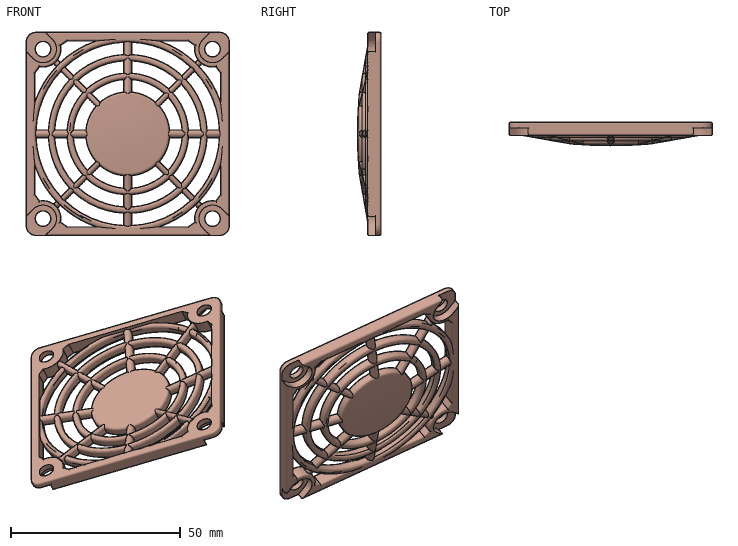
import cadquery as cq
import math


SIZE = 60.0
FRAME_DEPTH = 4.0
CORNER_RADIUS = 3.0
FRAME_EDGE_FILLET = 0.6
WINDOW_SIZE = 54.8
WINDOW_EDGE_FILLET = 0.5

HOLE_DIAMETER = 4.5
HOLE_INSET = 5.0
RECESS_RADIUS = 4.0
RECESS_FLOOR_HEIGHT = 1.7
BOSS_RADIUS = 5.3
GUSSET_REACH = 12.1
GUSSET_SLOPE_RUN = 2.0
GUSSET_SLOPE_RISE = 1.4

APEX_HEIGHT = 7.0
HUB_DOME_RADIUS = 140.0
HUB_RADIUS = 12.4
HUB_RIM_ROUND = 0.8
GRILLE_THICKNESS = 3.0
CONE_ANGLE = 10.0
RING_RADII = (17.0, 22.5, 28.0)
RING_WIDTH = 1.9
RING_FLAT = 0.3
CROSS_RIB_WIDTH = 2.4
DIAGONAL_RIB_WIDTH = 1.7
CROSS_RIB_REACH = 29.0

HOLE_OFFSET = SIZE / 2 - HOLE_INSET
DIAGONAL_RIB_REACH = math.hypot(HOLE_OFFSET, HOLE_OFFSET) - (BOSS_RADIUS + RECESS_RADIUS) / 2
CROWN_RADIUS = HUB_RADIUS - HUB_RIM_ROUND
QUARTER_TURNS = (0, 90, 180, 270)
DIAGONAL_ANGLE = 45


def dome_y(radius):
    """Y of the hub's domed front at a given distance from the Y axis."""
    return HUB_DOME_RADIUS - APEX_HEIGHT - math.sqrt(HUB_DOME_RADIUS**2 - radius**2)


def cone_y(radius):
    """Y of the cone that continues outward from the edge of the hub's domed front."""
    return dome_y(CROWN_RADIUS) + (radius - CROWN_RADIUS) * math.tan(math.radians(CONE_ANGLE))


def turned(shape, angle):
    """The shape turned about the Y axis."""
    return shape.rotate((0, 0, 0), (0, 1, 0), angle)


def corner_boss():
    """Round boss around the upper right screw, with gussets running into the frame sides."""
    boss = cq.Workplane("XZ").center(HOLE_OFFSET, HOLE_OFFSET).circle(BOSS_RADIUS).extrude(FRAME_DEPTH)
    half_window = WINDOW_SIZE / 2
    start = SIZE / 2 - GUSSET_REACH
    gusset_points = [
        (start, half_window),
        (start + GUSSET_SLOPE_RUN, half_window - GUSSET_SLOPE_RISE),
        (HOLE_OFFSET, HOLE_OFFSET),
        (half_window - GUSSET_SLOPE_RISE, start + GUSSET_SLOPE_RUN),
        (half_window, start),
        (half_window, half_window),
    ]
    gusset = cq.Workplane("XZ").polyline(gusset_points).close().extrude(FRAME_DEPTH)
    return boss.union(gusset)


def window():
    """Opening of the frame, less the four corner bosses."""
    opening = cq.Workplane("XZ").rect(WINDOW_SIZE, WINDOW_SIZE).extrude(FRAME_DEPTH)
    for angle in QUARTER_TURNS:
        opening = opening.cut(turned(corner_boss(), angle))
    return opening


def corner_recess():
    """Screw head recess in the upper right corner: a round end widened straight out to the corner."""
    depth = FRAME_DEPTH - RECESS_FLOOR_HEIGHT
    plane = cq.Workplane("XZ", origin=(HOLE_OFFSET, -RECESS_FLOOR_HEIGHT, HOLE_OFFSET))
    round_end = plane.circle(RECESS_RADIUS).extrude(depth)
    channel_length = 2 * HOLE_INSET
    channel = plane.center(channel_length / 2, 0).rect(channel_length, 2 * RECESS_RADIUS).extrude(depth)
    hole_axis = (HOLE_OFFSET, 0, HOLE_OFFSET)
    axis_end = (HOLE_OFFSET, 1, HOLE_OFFSET)
    return round_end.union(channel.rotate(hole_axis, axis_end, -DIAGONAL_ANGLE))


def frame():
    """Square frame with rounded edges, screw holes and screw head recesses."""
    body = cq.Workplane("XZ").rect(SIZE, SIZE).extrude(FRAME_DEPTH)
    body = body.edges("|Y").fillet(CORNER_RADIUS)
    body = body.faces("<Y or >Y").edges().fillet(FRAME_EDGE_FILLET)
    body = body.cut(window())
    front_rim = body.faces("<Y").val().innerWires()[0]
    body = body.newObject(front_rim.Edges()).fillet(WINDOW_EDGE_FILLET)
    hole = (
        cq.Workplane("XZ")
        .center(HOLE_OFFSET, HOLE_OFFSET)
        .circle(HOLE_DIAMETER / 2)
        .extrude(FRAME_DEPTH)
    )
    for angle in QUARTER_TURNS:
        body = body.cut(turned(corner_recess(), angle))
        body = body.cut(turned(hole, angle))
    return body


def hub():
    """Centre disc with a domed front, a flat back and a rim rounded on both sides."""
    crown_y = dome_y(CROWN_RADIUS)
    back_y = crown_y + GRILLE_THICKNESS
    bend = HUB_RIM_ROUND * (1 - math.sqrt(0.5))
    return (
        cq.Workplane("XY")
        .moveTo(0, -APEX_HEIGHT)
        .threePointArc((CROWN_RADIUS / 2, dome_y(CROWN_RADIUS / 2)), (CROWN_RADIUS, crown_y))
        .threePointArc((HUB_RADIUS - bend, crown_y + bend), (HUB_RADIUS, crown_y + HUB_RIM_ROUND))
        .lineTo(HUB_RADIUS, back_y - HUB_RIM_ROUND)
        .threePointArc((HUB_RADIUS - bend, back_y - bend), (CROWN_RADIUS, back_y))
        .lineTo(0, back_y)
        .close()
        .revolve(360, (0, 0, 0), (0, 1, 0))
    )


def bar_section(width, flat, middle, top_y):
    """Section of a bar whose front and back are rounded over to a narrow flat of the given width."""
    left = middle - width / 2
    right = middle + width / 2
    round_radius = (width - flat) / 2
    bend = round_radius * (1 - math.sqrt(0.5))
    back_y = top_y + GRILLE_THICKNESS
    front_shoulder = top_y + round_radius
    back_shoulder = back_y - round_radius
    section = (
        cq.Workplane("XY")
        .moveTo(left, back_shoulder)
        .lineTo(left, front_shoulder)
        .threePointArc((left + bend, top_y + bend), (left + round_radius, top_y))
    )
    if flat > 0:
        section = section.lineTo(right - round_radius, top_y)
    section = (
        section.threePointArc((right - bend, top_y + bend), (right, front_shoulder))
        .lineTo(right, back_shoulder)
        .threePointArc((right - bend, back_y - bend), (right - round_radius, back_y))
    )
    if flat > 0:
        section = section.lineTo(left + round_radius, back_y)
    return section.threePointArc((left + bend, back_y - bend), (left, back_shoulder)).close()


def ring(radius):
    """Ring on the cone; the outermost one is level with the front of the frame."""
    top_y = min(cone_y(radius), -FRAME_DEPTH)
    return bar_section(RING_WIDTH, RING_FLAT, radius, top_y).revolve(360, (0, 0, 0), (0, 1, 0))


def rib(width, reach):
    """Straight radial bar from the hub toward +Z, sloping back along the cone."""
    length = (reach - CROWN_RADIUS) / math.cos(math.radians(CONE_ANGLE))
    bar = bar_section(width, 0, 0, 0).extrude(length)
    sloped = bar.rotate((0, 0, 0), (1, 0, 0), -CONE_ANGLE)
    return sloped.translate((0, dome_y(CROWN_RADIUS), CROWN_RADIUS))


def grille():
    """Hub, ribs and rings joined together."""
    body = hub()
    cross_rib = rib(CROSS_RIB_WIDTH, CROSS_RIB_REACH)
    diagonal_rib = rib(DIAGONAL_RIB_WIDTH, DIAGONAL_RIB_REACH)
    for angle in QUARTER_TURNS:
        body = body.union(turned(cross_rib, angle))
        body = body.union(turned(diagonal_rib, angle + DIAGONAL_ANGLE))
    for radius in RING_RADII:
        body = body.union(ring(radius))
    return body


result = frame().union(grille())